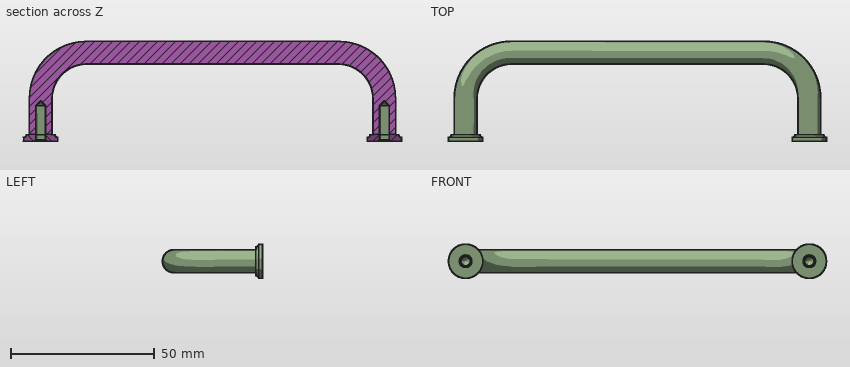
import cadquery as cq
import math

overall_length = 132.0
overall_depth = 35.0
foot_diameter = 12.0
leg_spacing = overall_length - foot_diameter

bar_diameter = 8.0
bend_radius = 16.0

foot_height = 2.4
foot_top_diameter = 10.0
flare_radius = (foot_diameter - foot_top_diameter) / 2
rim_height = foot_height - flare_radius

screw_hole_diameter = 3.3
hole_mouth_diameter = 4.4
mouth_chamfer = (hole_mouth_diameter - screw_hole_diameter) / 2
screw_hole_depth = 10.0
drill_tip_height = screw_hole_diameter / 2

leg_x = leg_spacing / 2
grip_y = overall_depth - bar_diameter / 2
bend_start_y = grip_y - bend_radius
bend_end_x = leg_x - bend_radius


def revolve_about_leg(profile):
    """Revolve a (radius, Y) profile about the Y axis."""
    return cq.Workplane("XY").polyline(profile).close().revolve(360, (0, 0, 0), (0, 1, 0))


def make_screw_hole():
    """Drilled hole with a conical tip, starting at the end of a leg."""
    radius = screw_hole_diameter / 2
    hole_end = foot_height + screw_hole_depth
    return revolve_about_leg([
        (0, foot_height),
        (radius, foot_height),
        (radius, hole_end),
        (0, hole_end + drill_tip_height),
    ])


def make_handle_bar():
    """Round bar swept along two legs, two bends and a grip."""
    path = (
        cq.Workplane("XY")
        .moveTo(-leg_x, foot_height)
        .lineTo(-leg_x, bend_start_y)
        .tangentArcPoint((-bend_end_x, grip_y), relative=False)
        .lineTo(bend_end_x, grip_y)
        .tangentArcPoint((leg_x, bend_start_y), relative=False)
        .lineTo(leg_x, foot_height)
    )
    bar_end = cq.Workplane("XZ", origin=(-leg_x, foot_height, 0)).circle(bar_diameter / 2)
    bar = bar_end.sweep(path)
    for x in (-leg_x, leg_x):
        bar = bar.cut(make_screw_hole().translate((x, 0, 0)))
    return bar


def make_foot(x):
    """Round foot with a chamfered through hole, centred under the leg at x."""
    hole_radius = screw_hole_diameter / 2
    rim_radius = foot_diameter / 2
    flare_mid_offset = flare_radius * math.sqrt(0.5)
    foot = (
        cq.Workplane("XY")
        .moveTo(hole_radius, mouth_chamfer)
        .lineTo(hole_mouth_diameter / 2, 0)
        .lineTo(rim_radius, 0)
        .lineTo(rim_radius, rim_height)
        .threePointArc(
            (rim_radius - flare_mid_offset, foot_height - flare_mid_offset),
            (foot_top_diameter / 2, foot_height),
        )
        .lineTo(hole_radius, foot_height)
        .close()
        .revolve(360, (0, 0, 0), (0, 1, 0))
    )
    return foot.translate((x, 0, 0))


handle_bar = make_handle_bar()
feet = [make_foot(x) for x in (-leg_x, leg_x)]

result = cq.Compound.makeCompound([handle_bar.val(), *[foot.val() for foot in feet]])